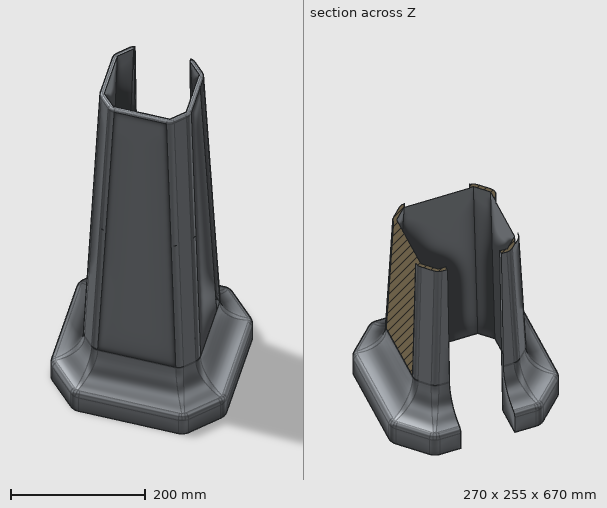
import cadquery as cq
import math

base_width = 270.0
base_depth = 255.0
total_height = 670.0
top_width = 140.0
top_depth = 125.0

base_wall_height = 40.0
column_bottom = 100.0
flare_spread = 45.0
base_corner_leg = 50.0
base_edge_radius = 10.0
base_corner_radius = 20.0
neck_band = 2.0

column_edge_radius = 15.0
rim_radius = 4.0

wall = 7.0
slot_width = 86.0

select_margin = 1.0

leg_loss = 2 - math.sqrt(2)

flare_top = column_bottom - neck_band
flare_height = flare_top - base_wall_height
flare_radius = (flare_spread**2 + flare_height**2) / (2 * flare_spread)
column_corner_leg = base_corner_leg - flare_spread * leg_loss
neck_width = base_width - 2 * flare_spread
neck_depth = base_depth - 2 * flare_spread
column_height = total_height - column_bottom


def octagon(width, depth, leg, z):
    """Rectangle with its four corners cut at 45 degrees, drawn at height z."""
    x = width / 2
    y = depth / 2
    points = [
        (x, y - leg),
        (x - leg, y),
        (leg - x, y),
        (-x, y - leg),
        (-x, leg - y),
        (leg - x, -y),
        (x - leg, -y),
        (x, leg - y),
    ]
    return cq.Workplane("XY").workplane(offset=z).polyline(points).close()


def tapered_octagon(bottom_z, bottom_size, top_size, leg):
    """Straight-sided octagonal frustum reaching up to the full height."""
    foot = octagon(*bottom_size, leg, bottom_z).wires().vals()[0]
    head = octagon(*top_size, leg, total_height).wires().vals()[0]
    return cq.Workplane(cq.Solid.makeLoft([foot, head], True))


def flare_prism(half_width, angle):
    """Long bar with the flared base profile, its sides facing the given angle."""
    neck = half_width - flare_spread
    arc_angle = math.asin(flare_height / flare_radius) / 2
    middle_x = neck + flare_radius * (1 - math.cos(arc_angle))
    middle_z = flare_top - flare_radius * math.sin(arc_angle)
    length = base_width + base_depth
    bar = (
        cq.Workplane("XZ")
        .moveTo(-half_width, 0)
        .lineTo(half_width, 0)
        .lineTo(half_width, base_wall_height)
        .threePointArc((middle_x, middle_z), (neck, flare_top))
        .lineTo(neck, column_bottom)
        .lineTo(-neck, column_bottom)
        .lineTo(-neck, flare_top)
        .threePointArc((-middle_x, middle_z), (-half_width, base_wall_height))
        .close()
        .extrude(length / 2, both=True)
    )
    return bar.rotate((0, 0, 0), (0, 0, 1), angle)


def edges_between(bottom_z, top_z):
    """Selector for the edges centred between two heights."""
    reach = base_width + base_depth
    return cq.selectors.BoxSelector(
        (-reach, -reach, bottom_z),
        (reach, reach, top_z),
    )


def make_base():
    """Octagonal foot with a concave flare up to the neck, all outer edges rounded."""
    diagonal = (base_width / 2 + base_depth / 2 - base_corner_leg) / math.sqrt(2)
    base = flare_prism(base_width / 2, 0)
    base = base.intersect(flare_prism(base_depth / 2, 90))
    base = base.intersect(flare_prism(diagonal, 45))
    base = base.intersect(flare_prism(diagonal, -45))
    below_shoulder = base_wall_height - select_margin
    above_shoulder = base_wall_height + select_margin
    wall_corners = edges_between(select_margin, below_shoulder)
    flare_corners = edges_between(above_shoulder, flare_top - select_margin)
    shoulder = edges_between(below_shoulder, above_shoulder)
    base = base.edges(wall_corners).fillet(base_corner_radius)
    base = base.edges(flare_corners).fillet(column_edge_radius)
    return base.edges(shoulder).fillet(base_edge_radius)


def make_column():
    """Tapered column with rounded long edges and a rounded outer rim."""
    foot = (neck_width, neck_depth)
    head = (top_width, top_depth)
    column = tapered_octagon(column_bottom, foot, head, column_corner_leg)
    column = column.edges("not #Z").fillet(column_edge_radius)
    return column.faces(">Z").edges().fillet(rim_radius)


def make_cavity():
    """Sharp-cornered octagonal hollow that keeps the column's taper down to the floor."""
    taper = (neck_width - top_width) / column_height
    growth = taper * total_height
    width = top_width - 2 * wall
    depth = top_depth - 2 * wall
    leg = column_corner_leg - wall * leg_loss
    return tapered_octagon(0, (width + growth, depth + growth), (width, depth), leg)


def make_slot():
    """Full-height opening through the +Y side."""
    return cq.Workplane("XY").box(slot_width, base_depth, total_height, centered=(True, False, False))


result = make_base().union(make_column()).cut(make_cavity()).cut(make_slot())